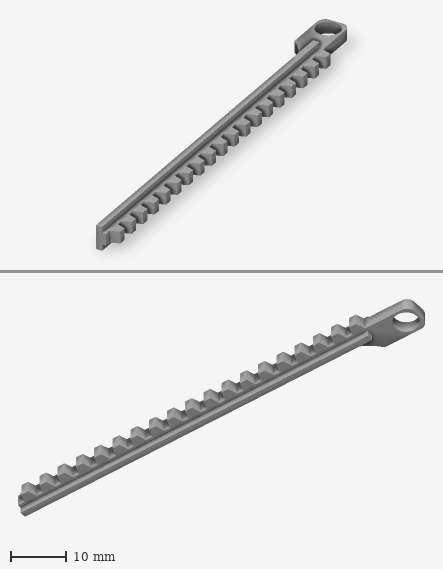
import cadquery as cq

total_length = 87.5
total_width = 8.0
flange_height = 5.0
web_height = 2.45

lug_width = 6.0
lug_length = 9.8
lug_corner_radius = 1.75
eye_diameter = 5.0
eye_center_x = lug_width / 2
eye_center_y = total_length - 2.9

flange_left = 3.9
flange_thickness = 1.3
flange_length = total_length - lug_length
neck_length = 8.05
neck_radius = (flange_left**2 + neck_length**2) / (2 * flange_left)

tooth_count = 19
tooth_root_width = 2.8
tooth_tip_width = 1.5
first_tooth_y = 76.2
last_tooth_y = 2.8
tooth_pitch = (first_tooth_y - last_tooth_y) / (tooth_count - 1)
first_tooth_height = total_width - lug_width
tip_line_drop = 0.1
root_overlap = 0.2


def centered_plate(outline, height):
    """Extrude a closed XY outline equally above and below Z = 0."""
    return outline.extrude(height / 2, both=True)


def make_web_and_lug():
    neck_start_y = total_length - lug_length
    neck_end_y = neck_start_y - neck_length
    outline = (
        cq.Workplane("XY")
        .moveTo(flange_left, 0)
        .lineTo(lug_width, 0)
        .lineTo(lug_width, total_length)
        .lineTo(0, total_length)
        .lineTo(0, neck_start_y)
        .radiusArc((flange_left, neck_end_y), neck_radius)
        .close()
    )
    web = centered_plate(outline, web_height)
    web = web.edges("|Z and >Y").fillet(lug_corner_radius)
    eye = centered_plate(
        cq.Workplane("XY").center(eye_center_x, eye_center_y).circle(eye_diameter / 2),
        web_height,
    )
    return web.cut(eye)


def make_flange():
    outline = cq.Workplane("XY").rect(flange_thickness, flange_length, centered=False)
    return centered_plate(outline, flange_height).translate((flange_left, 0, 0))


def make_tooth(center_y, height):
    """Trapezoidal tooth whose base is sunk slightly into the web."""
    tip_x = lug_width + height
    base_x = lug_width - root_overlap
    outline = cq.Workplane("XY").polyline([
        (base_x, center_y - tooth_root_width / 2),
        (lug_width, center_y - tooth_root_width / 2),
        (tip_x, center_y - tooth_tip_width / 2),
        (tip_x, center_y + tooth_tip_width / 2),
        (lug_width, center_y + tooth_root_width / 2),
        (base_x, center_y + tooth_root_width / 2),
    ]).close()
    return centered_plate(outline, web_height)


result = make_web_and_lug().union(make_flange())
for index in range(tooth_count):
    steps_from_lug = tooth_count - 1 - index
    tooth_height = first_tooth_height - tip_line_drop * steps_from_lug / (tooth_count - 1)
    result = result.union(make_tooth(last_tooth_y + index * tooth_pitch, tooth_height))